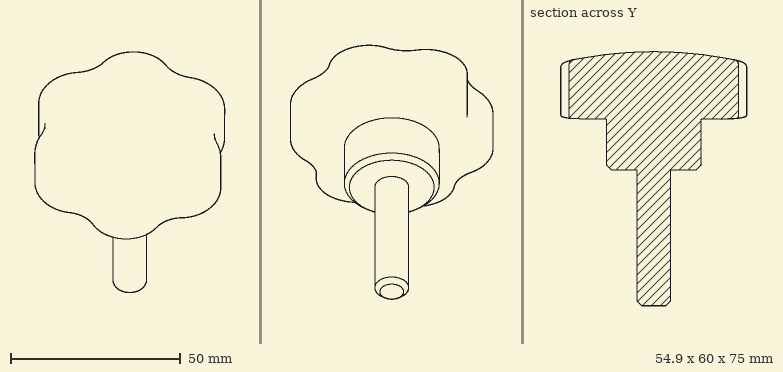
import cadquery as cq
import math

TOTAL_HEIGHT = 75.0
STUD_TIP_Z = 0.0
HUB_BOTTOM_Z = 40.0
HEAD_BOTTOM_Z = 55.0

LOBE_COUNT = 6
HEAD_RADIUS = 30.0
LOBE_RADIUS = 11.0
VALLEY_DEPTH_RADIUS = 25.0

DOME_RADIUS = 118.0
FLAT_RADIUS = 20.0
UNDERSIDE_ARC_RADIUS = 50.0
TOP_FILLET = 1.5
BOTTOM_FILLET = 0.8
BLANK_MARGIN = 1.0
SELECTION_MARGIN = 0.01

HUB_DIAMETER = 28.0
STUD_DIAMETER = 10.0
END_CHAMFER = 1.5

PITCH = 2 * math.pi / LOBE_COUNT
LOBE_CENTER_RADIUS = HEAD_RADIUS - LOBE_RADIUS
LOBE_ALONG_VALLEY = LOBE_CENTER_RADIUS * math.cos(PITCH / 2)
LOBE_ACROSS_VALLEY = LOBE_CENTER_RADIUS * math.sin(PITCH / 2)
VALLEY_GAP = VALLEY_DEPTH_RADIUS - LOBE_ALONG_VALLEY
VALLEY_RADIUS = (LOBE_ACROSS_VALLEY**2 + VALLEY_GAP**2 - LOBE_RADIUS**2) / (2 * (LOBE_RADIUS - VALLEY_GAP))
TANGENT_SHARE = LOBE_RADIUS / (LOBE_RADIUS + VALLEY_RADIUS)
VALLEY_CENTER_RADIUS = VALLEY_DEPTH_RADIUS + VALLEY_RADIUS
TANGENT_ALONG = LOBE_ALONG_VALLEY + TANGENT_SHARE * (VALLEY_CENTER_RADIUS - LOBE_ALONG_VALLEY)
TANGENT_ACROSS = LOBE_ACROSS_VALLEY * (1 - TANGENT_SHARE)
TANGENT_RADIUS = math.hypot(TANGENT_ALONG, TANGENT_ACROSS)
TANGENT_ANGLE = math.atan2(TANGENT_ACROSS, TANGENT_ALONG)


def polar(radius, angle):
    """Point at a distance from the axis and an angle from +X."""
    return (radius * math.cos(angle), radius * math.sin(angle))


def lobed_prism():
    """Six-lobed column with valleys centred on the X axis and lobes on the Y axis."""
    outline = cq.Workplane("XY").workplane(offset=HEAD_BOTTOM_Z)
    outline = outline.moveTo(*polar(TANGENT_RADIUS, -TANGENT_ANGLE))
    for index in range(LOBE_COUNT):
        valley = index * PITCH
        lobe = valley + PITCH / 2
        next_valley = valley + PITCH
        outline = outline.threePointArc(
            polar(VALLEY_DEPTH_RADIUS, valley),
            polar(TANGENT_RADIUS, valley + TANGENT_ANGLE),
        )
        outline = outline.threePointArc(
            polar(HEAD_RADIUS, lobe),
            polar(TANGENT_RADIUS, next_valley - TANGENT_ANGLE),
        )
    return outline.close().extrude(TOTAL_HEIGHT - HEAD_BOTTOM_Z)


def crowned_blank():
    """Turned blank with a spherical top and an underside that curves up towards the rim."""
    blank_radius = HEAD_RADIUS + BLANK_MARGIN

    def dome_z(radius):
        return TOTAL_HEIGHT - DOME_RADIUS + math.sqrt(DOME_RADIUS**2 - radius**2)

    def underside_z(radius):
        reach = radius - FLAT_RADIUS
        return HEAD_BOTTOM_Z + UNDERSIDE_ARC_RADIUS - math.sqrt(UNDERSIDE_ARC_RADIUS**2 - reach**2)

    underside_middle = (FLAT_RADIUS + blank_radius) / 2
    dome_middle = blank_radius / 2
    profile = (
        cq.Workplane("YZ")
        .moveTo(0, HEAD_BOTTOM_Z)
        .lineTo(FLAT_RADIUS, HEAD_BOTTOM_Z)
        .threePointArc(
            (underside_middle, underside_z(underside_middle)),
            (blank_radius, underside_z(blank_radius)),
        )
        .lineTo(blank_radius, dome_z(blank_radius))
        .threePointArc((dome_middle, dome_z(dome_middle)), (0, TOTAL_HEIGHT))
        .close()
    )
    return profile.revolve(360, (0, 0), (0, 1))


def head():
    """Lobed head with rounded upper and lower rims."""
    body = lobed_prism().intersect(crowned_blank())
    body = body.faces(">Z").edges().fillet(TOP_FILLET)
    lower_rim = cq.selectors.BoxSelector(
        (-2 * HEAD_RADIUS, -2 * HEAD_RADIUS, HEAD_BOTTOM_Z + SELECTION_MARGIN),
        (2 * HEAD_RADIUS, 2 * HEAD_RADIUS, (HEAD_BOTTOM_Z + TOTAL_HEIGHT) / 2),
        boundingbox=True,
    )
    return body.edges(lower_rim).fillet(BOTTOM_FILLET)


def chamfered_cylinder(diameter, bottom_z, top_z):
    """Upright cylinder on the Z axis with a chamfered lower end."""
    base = cq.Workplane("XY").workplane(offset=bottom_z)
    cylinder = base.circle(diameter / 2).extrude(top_z - bottom_z)
    return cylinder.faces("<Z").chamfer(END_CHAMFER)


hub = chamfered_cylinder(HUB_DIAMETER, HUB_BOTTOM_Z, HEAD_BOTTOM_Z)
stud = chamfered_cylinder(STUD_DIAMETER, STUD_TIP_Z, HUB_BOTTOM_Z)

result = head().union(hub).union(stud)